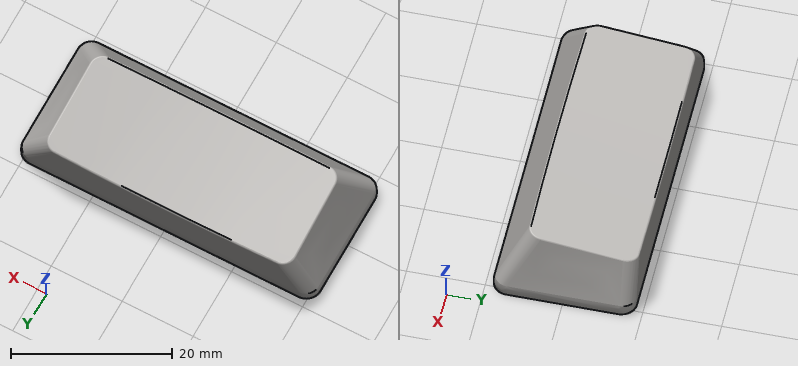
import cadquery as cq
import math

LENGTH = 41.95
WIDTH = 18.17
SKIRT_CORNER_RADIUS = 2.0

SKIRT_TOP_Z = 0.65
BLEND_TOP_Z = 1.43
BLEND_SECTIONS = 5

END_DRAFT = 30.0
FRONT_DRAFT = 30.0
BACK_DRAFT = 5.0
WALL_CORNER_RADIUS = 1.75

TOP_TILT = 7.0
DISH_RADIUS = 281.2
DISH_CENTER_Z = 6.55
TOP_EDGE_RADIUS = 0.25

RIM_OFFSET = 0.85
RIM_LENGTH = 34.2
RIM_CORNER_RADIUS = 1.75

tilt = math.radians(TOP_TILT)
top_normal = cq.Vector(0, math.sin(tilt), math.cos(tilt))
dish_center = cq.Vector(0, 0, DISH_CENTER_Z)


def blend_inset(draft, z):
    """Distance a wall has curved inwards from the skirt at height z in the blend."""
    blend_radius = (BLEND_TOP_Z - SKIRT_TOP_Z) / math.sin(math.radians(draft))
    return blend_radius - math.sqrt(blend_radius**2 - (z - SKIRT_TOP_Z) ** 2)


def rounded_rectangle(length, width, radius):
    return cq.Sketch().rect(length, width).vertices().fillet(radius)


def section(z):
    """Level outline at height z, between the skirt top and the blend top."""
    length = LENGTH - 2 * blend_inset(END_DRAFT, z)
    front_y = -WIDTH / 2 + blend_inset(FRONT_DRAFT, z)
    back_y = WIDTH / 2 - blend_inset(BACK_DRAFT, z)
    blend_share = (z - SKIRT_TOP_Z) / (BLEND_TOP_Z - SKIRT_TOP_Z)
    radius = SKIRT_CORNER_RADIUS + blend_share * (WALL_CORNER_RADIUS - SKIRT_CORNER_RADIUS)
    outline = rounded_rectangle(length, back_y - front_y, radius)
    return outline.moved(cq.Location(cq.Vector(0, (front_y + back_y) / 2, z)))


def rim_section():
    """Tilted outline where the front and back walls meet the rim plane."""
    origin = dish_center + top_normal * RIM_OFFSET
    rim_z_on_axis = DISH_CENTER_Z + RIM_OFFSET / math.cos(tilt)

    def rim_y(foot_y, lean):
        """Y where a wall rising from foot_y, shifted by lean per unit of height, meets the rim."""
        return (foot_y + lean * (rim_z_on_axis - BLEND_TOP_Z)) / (1 + lean * math.tan(tilt))

    front_foot_y = -WIDTH / 2 + blend_inset(FRONT_DRAFT, BLEND_TOP_Z)
    back_foot_y = WIDTH / 2 - blend_inset(BACK_DRAFT, BLEND_TOP_Z)
    front_y = rim_y(front_foot_y, math.tan(math.radians(FRONT_DRAFT)))
    back_y = rim_y(back_foot_y, -math.tan(math.radians(BACK_DRAFT)))

    slope_width = (back_y - front_y) / math.cos(tilt)
    slope_middle = ((front_y + back_y) / 2 - origin.y) / math.cos(tilt)
    outline = rounded_rectangle(RIM_LENGTH, slope_width, RIM_CORNER_RADIUS)
    centered = outline.moved(cq.Location(cq.Vector(0, slope_middle, 0)))
    return centered.moved(cq.Plane(origin, (1, 0, 0), top_normal).location)


def skirt():
    """Upright foot of the key."""
    return cq.Workplane().placeSketch(section(SKIRT_TOP_Z)).extrude(-SKIRT_TOP_Z)


def blend():
    """Rounded transition that turns the upright skirt into the leaning walls."""
    step = (BLEND_TOP_Z - SKIRT_TOP_Z) / (BLEND_SECTIONS - 1)
    sections = [section(SKIRT_TOP_Z + step * i) for i in range(BLEND_SECTIONS)]
    return cq.Workplane().placeSketch(*sections).loft()


def walls():
    """Straight leaning walls, taller than the finished key."""
    return cq.Workplane().placeSketch(section(BLEND_TOP_Z), rim_section()).loft(ruled=True)


def dish_cutter():
    """Large cylinder lying front to back, tilted to slope the top down to the back."""
    cutter_length = 2 * WIDTH
    axis = cq.Vector(0, math.cos(tilt), -math.sin(tilt))
    start = dish_center + top_normal * DISH_RADIUS - axis * (cutter_length / 2)
    return cq.Workplane(cq.Solid.makeCylinder(DISH_RADIUS, cutter_length, start, axis))


dished_walls = walls().cut(dish_cutter())
rounded_walls = dished_walls.faces(">Z").edges().fillet(TOP_EDGE_RADIUS)
result = skirt().union(blend()).union(rounded_walls)